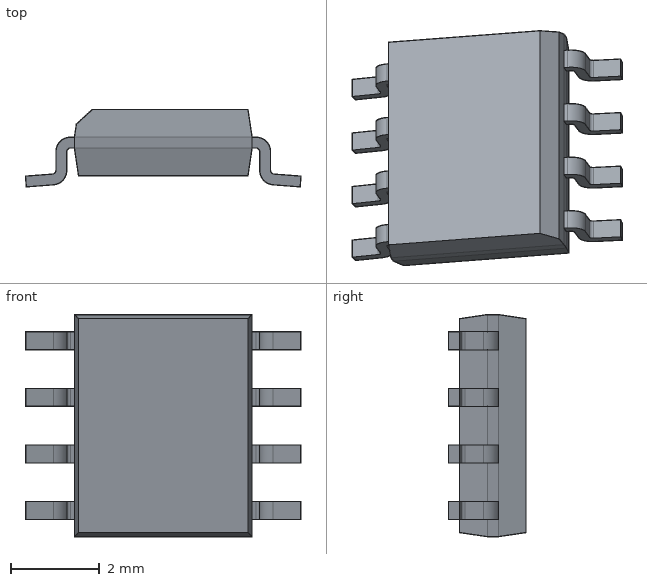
import cadquery as cq
import math


package_width = 4.0
package_length = 5.0
belt_thickness = 0.25
taper_height = 0.625
taper_inset = 0.09
bevel_depth = 0.335
bevel_run = 0.365

overall_width = 6.2
overall_height = 1.75
lead_count = 4
lead_pitch = 1.27
lead_width = 0.41
lead_thickness = belt_thickness
lead_shoulder = 0.085
inner_radius = 0.08
outer_radius = inner_radius + lead_thickness
foot_tilt = math.radians(4.4)

belt_top = belt_thickness / 2
package_top = belt_top + taper_height
package_side = package_width / 2
lowest_y = package_top - overall_height


def package_section(y, inset):
    """Rectangular outline of the package at height y, moved in from the belt walls."""
    return cq.Wire.makePolygon(
        [
            cq.Vector(x_sign * (package_side - inset), y, z_sign * (package_length / 2 - inset))
            for x_sign, z_sign in [(-1, -1), (1, -1), (1, 1), (-1, 1)]
        ],
        close=True,
    )


def make_tapered_block(side):
    """Tapered block above (side = 1) or below (side = -1) the belt."""
    wide_end = package_section(side * belt_top, 0)
    narrow_end = package_section(side * package_top, taper_inset)
    return cq.Workplane(cq.Solid.makeLoft([wide_end, narrow_end], True))


def make_bevel_cutter():
    """Triangular bar that removes the long edge at -X, +Y."""
    bevel_y = package_top - bevel_depth
    bevel_x = -package_side + taper_inset * (bevel_y - belt_top) / taper_height
    return (
        cq.Workplane("XY")
        .moveTo(bevel_x, bevel_y)
        .lineTo(bevel_x + bevel_run, package_top)
        .lineTo(bevel_x, package_top)
        .close()
        .extrude(package_length / 2, both=True)
    )


def make_package():
    belt = cq.Workplane("XY").box(package_width, belt_thickness, package_length)
    return (
        belt
        .union(make_tapered_block(1))
        .union(make_tapered_block(-1))
        .cut(make_bevel_cutter())
    )


def make_lead():
    """Gull-wing lead on the +X side, centred on Z = 0."""
    tilt_sin = math.sin(foot_tilt)
    tilt_cos = math.cos(foot_tilt)

    knee_x = package_side + lead_shoulder
    knee_y = belt_top - outer_radius
    ankle_x = knee_x + outer_radius + inner_radius
    tip_x = overall_width / 2
    foot_length = (tip_x - ankle_x + inner_radius * tilt_sin) / tilt_cos
    ankle_y = lowest_y + outer_radius * tilt_cos + foot_length * tilt_sin

    knee_middle = math.pi / 4
    ankle_start = math.pi
    ankle_end = 3 * math.pi / 2 - foot_tilt
    ankle_middle = (ankle_start + ankle_end) / 2

    def knee_point(radius, angle):
        return (knee_x + radius * math.cos(angle), knee_y + radius * math.sin(angle))

    def ankle_point(radius, angle):
        return (ankle_x + radius * math.cos(angle), ankle_y + radius * math.sin(angle))

    def foot_end(radius):
        start_x, start_y = ankle_point(radius, ankle_end)
        return (start_x + foot_length * tilt_cos, start_y - foot_length * tilt_sin)

    profile = (
        cq.Workplane("XY")
        .moveTo(package_side, belt_top)
        .lineTo(knee_x, belt_top)
        .threePointArc(knee_point(outer_radius, knee_middle), (knee_x + outer_radius, knee_y))
        .lineTo(ankle_x - inner_radius, ankle_y)
        .threePointArc(ankle_point(inner_radius, ankle_middle), ankle_point(inner_radius, ankle_end))
        .lineTo(*foot_end(inner_radius))
        .lineTo(*foot_end(outer_radius))
        .lineTo(*ankle_point(outer_radius, ankle_end))
        .threePointArc(ankle_point(outer_radius, ankle_middle), (ankle_x - outer_radius, ankle_y))
        .lineTo(knee_x + inner_radius, knee_y)
        .threePointArc(knee_point(inner_radius, knee_middle), (knee_x, knee_y + inner_radius))
        .lineTo(package_side, belt_top - lead_thickness)
        .close()
    )
    return profile.extrude(lead_width / 2, both=True)


def make_leads():
    """One row of leads on each side; the -X row mirrors the +X row."""
    right_lead = make_lead()
    left_lead = right_lead.mirror("YZ")
    leads = []
    for index in range(lead_count):
        lead_z = (index - (lead_count - 1) / 2) * lead_pitch
        for lead in (right_lead, left_lead):
            leads.append(lead.translate((0, 0, lead_z)).solids().val())
    return leads


package = make_package()
leads = make_leads()

result = cq.Compound.makeCompound([package.solids().val(), *leads])